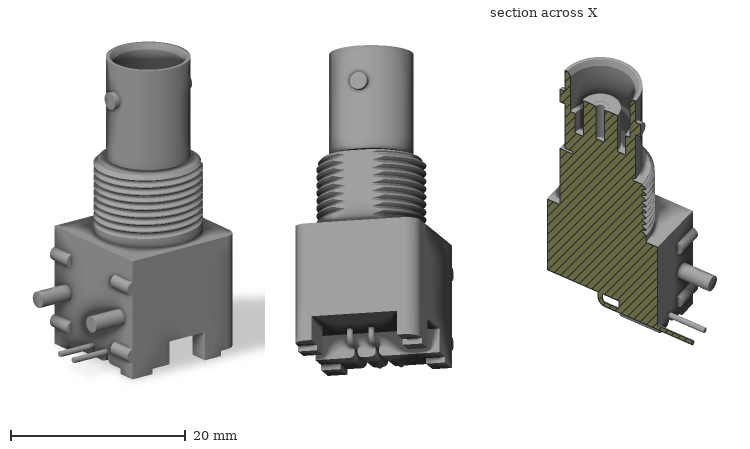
import cadquery as cq
import math


total_height = 35.56
overlap = 0.2

housing_width = 14.76
housing_front = -7.87
housing_back = 7.29
housing_top = 14.43
back_corner_radius = 1.6

foot_height = 0.65
foot_inner_x = 5.08
rear_foot_back = 4.85
front_foot_back = -5.0
notch_half_depth = 2.54
notch_top = 3.45

rib_radius = 0.82
rib_protrusion = 0.7
rib_length = 3.24
rib_heights = (2.87, 11.07)

post_radius = 0.96
post_x = 5.08
post_z = 6.97
post_tip_y = -12.04

lead_radius = 0.34
lead_xs = (0.0, 2.54)
lead_z = 1.98
lead_bend_radius = 0.67
lead_tip_y = -12.7
slit_half_width = 0.2
slit_lip_radius = 0.6

thread_radius = 6.3
thread_root_radius = 5.75
thread_top = 23.13
thread_pitch = 0.907
thread_crest_width = 0.11
thread_flank_angle = 30.0
thread_turns = 9
thread_start_z = 15.38
thread_start_angle = 90.0
bushing_flat_y = 5.53

neck_radius = 4.48
neck_flat_y = 3.85

barrel_radius = 4.85
barrel_bottom = 23.45
bayonet_radius = 1.0
bayonet_z = 31.3
bayonet_reach = 5.53

mouth_radius = 4.45
mouth_depth = 0.66
bore_radius = 4.05
bore_depth = 6.0
inner_bore_radius = 3.43
inner_bore_depth = 9.0
insulator_radius = 2.38
insulator_depth = 3.43
contact_radius = 1.05
contact_recess = 0.05
contact_hole_radius = 0.55
contact_hole_depth = 5.0


def block(x_range, y_range, z_range):
    """Axis-aligned box given by its limits along X, Y and Z."""
    x0, x1 = x_range
    y0, y1 = y_range
    z0, z1 = z_range
    return cq.Workplane("XY").box(x1 - x0, y1 - y0, z1 - z0, centered=False).translate((x0, y0, z0))


def cylinder(radius, z0, z1):
    """Upright cylinder on the barrel axis."""
    return cq.Workplane("XY", origin=(0, 0, z0)).circle(radius).extrude(z1 - z0)


def y_rod(radius, x, z, y0, y1):
    """Cylinder parallel to Y from y0 down to y1."""
    return cq.Workplane("XZ", origin=(x, y0, z)).circle(radius).extrude(y0 - y1)


def make_housing():
    half_width = housing_width / 2
    full_width = (-half_width, half_width)
    body = block(full_width, (housing_front, housing_back), (0, housing_top))
    body = body.edges("|Z and >Y").fillet(back_corner_radius)

    underside = (0, foot_height)
    body = body.cut(block((-foot_inner_x, foot_inner_x), (housing_front, housing_back), underside))
    body = body.cut(block(full_width, (rear_foot_back, housing_back), underside))
    body = body.cut(block(full_width, (front_foot_back, notch_half_depth), underside))

    rear_opening = (notch_half_depth, housing_back)
    body = body.cut(block((-foot_inner_x, foot_inner_x), rear_opening, (0, notch_top)))

    return body.cut(block(full_width, (-notch_half_depth, notch_half_depth), (0, notch_top)))


def make_slit(x):
    """Slit under a lead, opening downwards between two rounded lips."""
    lip_z = foot_height + slit_lip_radius
    mouth_half_width = slit_half_width + slit_lip_radius
    arc_offset = slit_lip_radius * (1 - math.sqrt(0.5))
    arc_x = slit_half_width + arc_offset
    arc_z = foot_height + arc_offset
    return (
        cq.Workplane("XZ", origin=(x, -notch_half_depth, 0))
        .moveTo(-slit_half_width, lead_z)
        .lineTo(slit_half_width, lead_z)
        .lineTo(slit_half_width, lip_z)
        .threePointArc((arc_x, arc_z), (mouth_half_width, foot_height))
        .lineTo(-mouth_half_width, foot_height)
        .threePointArc((-arc_x, arc_z), (-slit_half_width, lip_z))
        .close()
        .extrude(-notch_half_depth - housing_front)
    )


def make_lead(x):
    """Wire that drops from the housing and bends towards -Y."""
    start_z = notch_top + overlap
    bend_z = lead_z + lead_bend_radius
    bend_offset = lead_bend_radius * (1 - math.sqrt(0.5))
    path = (
        cq.Workplane("YZ", origin=(x, 0, 0))
        .moveTo(0, start_z)
        .lineTo(0, bend_z)
        .threePointArc((-bend_offset, lead_z + bend_offset), (-lead_bend_radius, lead_z))
        .lineTo(lead_tip_y, lead_z)
    )
    return cq.Workplane("XY", origin=(x, 0, start_z)).circle(lead_radius).sweep(path)


def make_rib(side, z):
    """Part-round rib along X at the left (-1) or right (+1) edge of the front face."""
    axis_y = housing_front - rib_protrusion + rib_radius
    outer_x = side * housing_width / 2
    return cq.Workplane("YZ", origin=(outer_x, axis_y, z)).circle(rib_radius).extrude(-side * rib_length)


def make_thread_groove():
    """Helical groove that leaves a right-hand thread on the bushing."""
    outer_radius = thread_radius + overlap
    slope = math.tan(math.radians(thread_flank_angle))
    crest_half = (thread_pitch - thread_crest_width) / 2
    root_half = crest_half - (thread_radius - thread_root_radius) * slope
    outer_half = crest_half + overlap * slope
    helix = cq.Wire.makeHelix(thread_pitch, thread_turns * thread_pitch, thread_root_radius)
    groove = (
        cq.Workplane("XZ")
        .moveTo(thread_root_radius, -root_half)
        .lineTo(outer_radius, -outer_half)
        .lineTo(outer_radius, outer_half)
        .lineTo(thread_root_radius, root_half)
        .close()
        .sweep(cq.Workplane(helix), isFrenet=True)
    )
    return groove.rotate((0, 0, 0), (0, 0, 1), thread_start_angle).translate((0, 0, thread_start_z))


def cut_flat(body, radius, flat_y, z0, z1):
    """Remove everything behind flat_y from a round body."""
    return body.cut(block((-radius, radius), (flat_y, 2 * radius), (z0, z1)))


def make_bushing():
    bushing = cylinder(thread_radius, housing_top - overlap, thread_top)
    bushing = bushing.faces(">Z").chamfer(thread_radius - thread_root_radius)
    bushing = bushing.cut(make_thread_groove())
    return cut_flat(bushing, thread_radius, bushing_flat_y, housing_top, thread_top)


def make_neck():
    neck = cylinder(neck_radius, thread_top - overlap, barrel_bottom + overlap)
    return cut_flat(neck, neck_radius, neck_flat_y, thread_top, barrel_bottom)


def make_barrel():
    barrel = cylinder(barrel_radius, barrel_bottom, total_height)
    return barrel.union(y_rod(bayonet_radius, 0, bayonet_z, bayonet_reach, -bayonet_reach))


def make_cavity():
    """Stepped bore of the barrel around the insulator, with the contact in its middle."""
    top = total_height
    insulator_top = top - insulator_depth
    contact_top = insulator_top - contact_recess
    return (
        cq.Workplane("XZ")
        .moveTo(0, top)
        .lineTo(mouth_radius, top)
        .lineTo(bore_radius, top - mouth_depth)
        .lineTo(bore_radius, top - bore_depth)
        .lineTo(inner_bore_radius, top - bore_depth)
        .lineTo(inner_bore_radius, top - inner_bore_depth)
        .lineTo(insulator_radius, top - inner_bore_depth)
        .lineTo(insulator_radius, insulator_top)
        .lineTo(contact_radius, insulator_top)
        .lineTo(contact_radius, contact_top)
        .lineTo(contact_hole_radius, contact_top)
        .lineTo(contact_hole_radius, contact_top - contact_hole_depth)
        .lineTo(0, contact_top - contact_hole_depth)
        .close()
        .revolve(360, (0, 0, 0), (0, 1, 0))
    )


result = make_housing()
for lead_x in lead_xs:
    result = result.cut(make_slit(lead_x)).union(make_lead(lead_x))
for side in (-1, 1):
    result = result.union(y_rod(post_radius, side * post_x, post_z, housing_front + overlap, post_tip_y))
    for rib_z in rib_heights:
        result = result.union(make_rib(side, rib_z))
result = result.union(make_bushing()).union(make_neck()).union(make_barrel())
result = result.cut(make_cavity())